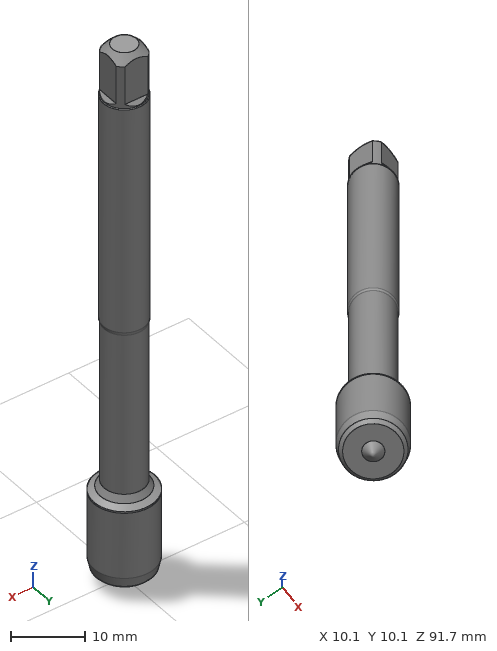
import cadquery as cq

total_length = 91.65

head_diameter = 10.1
head_top = 14.9
point_height = 1.6
nose_bevel = 0.55
nose_taper_width = 0.4
nose_taper_height = 1.65

flange_rim_height = 0.3
flange_cone_diameter = 8.0
flange_cone_height = 0.55
flare_height = 1.1

lower_diameter = 6.7
upper_diameter = 7.0
step_bottom = 44.2
step_height = 0.55
shoulder_top = 83.1

drive_diameter = lower_diameter
drive_width = 5.5
flat_bottom = 83.9
end_diameter = 3.9

head_radius = head_diameter / 2
lower_radius = lower_diameter / 2
upper_radius = upper_diameter / 2
drive_radius = drive_diameter / 2
end_radius = end_diameter / 2
end_chamfer = drive_radius - end_radius
shoulder_chamfer = upper_radius - drive_radius
rim_top = head_top + flange_rim_height
flange_cone_top = rim_top + flange_cone_height
flare_top = flange_cone_top + flare_height


def revolve_profile(points):
    """Revolve a closed outline of (radius, z) points about the Z axis."""
    return cq.Workplane("XZ").polyline(points).close().revolve(360, (0, 0), (0, 1))


def make_head():
    """Head with its pointed, tapered lower end and a flat top face."""
    bevel_top = point_height + nose_bevel
    bevel_radius = head_radius - nose_taper_width
    return revolve_profile([
        (0, 0),
        (point_height, point_height),
        (bevel_radius - nose_bevel, point_height),
        (bevel_radius, bevel_top),
        (head_radius, bevel_top + nose_taper_height),
        (head_radius, head_top),
        (0, head_top),
    ])


def make_round_shank():
    """Shank with its flange and the round blank of the drive end."""
    return revolve_profile([
        (0, head_top),
        (head_radius, head_top),
        (head_radius, rim_top),
        (flange_cone_diameter / 2, flange_cone_top),
        (lower_radius, flare_top),
        (lower_radius, step_bottom),
        (upper_radius, step_bottom + step_height),
        (upper_radius, shoulder_top - shoulder_chamfer),
        (drive_radius, shoulder_top),
        (drive_radius, total_length - end_chamfer),
        (end_radius, total_length),
        (0, total_length),
    ])


def make_flat_cutter():
    """Cutter for the +X drive flat, with a 45-degree run-out at its lower end."""
    flat_offset = drive_width / 2
    cut_depth = upper_radius - flat_offset
    return (
        cq.Workplane("XZ")
        .polyline([
            (flat_offset, total_length),
            (flat_offset, flat_bottom),
            (flat_offset + cut_depth, flat_bottom - cut_depth),
            (flat_offset + cut_depth, total_length),
        ])
        .close()
        .extrude(upper_radius, both=True)
    )


def make_shank():
    """Shank with the four flats of the square drive cut into its upper end."""
    shank = make_round_shank()
    cutter = make_flat_cutter()
    for angle in (0, 90, 180, 270):
        shank = shank.cut(cutter.rotate((0, 0, 0), (0, 0, 1), angle))
    return shank


head = make_head()
shank = make_shank()

result = cq.Compound.makeCompound([head.val(), shank.val()])